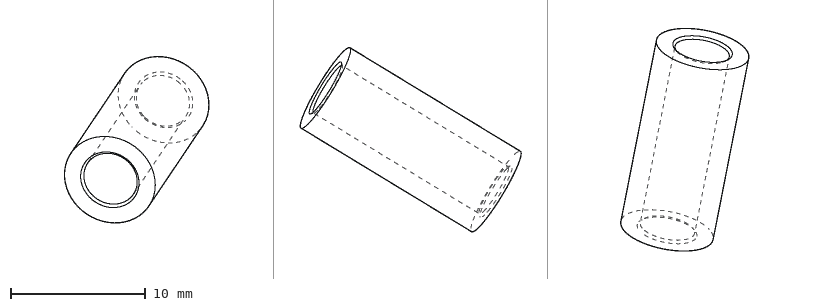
import cadquery as cq

length = 15.0
outer_diameter = 7.0
bore_diameter = 4.11
bore_mouth_diameter = 4.5
chamfer_size = (bore_mouth_diameter - bore_diameter) / 2

outer_radius = outer_diameter / 2
bore_radius = bore_diameter / 2
mouth_radius = bore_mouth_diameter / 2
half_length = length / 2
chamfer_end = half_length - chamfer_size

wall_section = (
    cq.Workplane("XY")
    .moveTo(mouth_radius, -half_length)
    .lineTo(outer_radius, -half_length)
    .lineTo(outer_radius, half_length)
    .lineTo(mouth_radius, half_length)
    .lineTo(bore_radius, chamfer_end)
    .lineTo(bore_radius, -chamfer_end)
    .close()
)

result = wall_section.revolve(360, (0, 0, 0), (0, 1, 0))